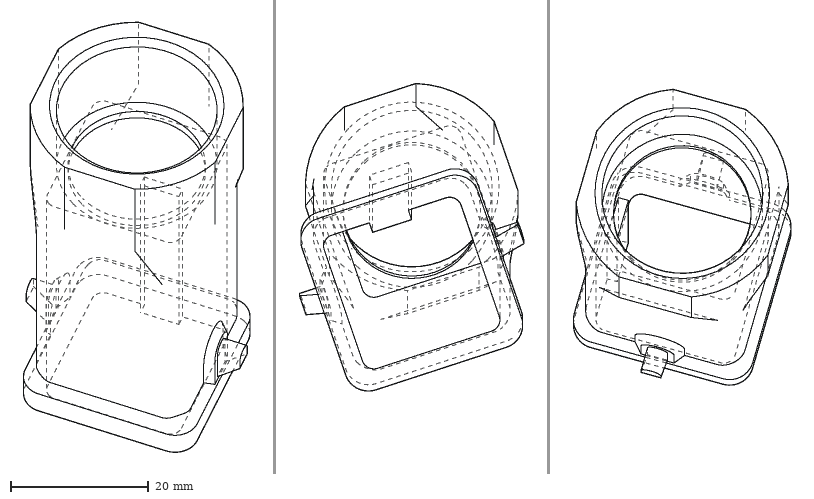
import cadquery as cq
import math

total_height = 60.5
collar_bottom = 46.0
body_top = 36.75

body_width = 24.0
body_corner_radius = 3.25

collar_width = 29.0
collar_flat_half = 5.5
collar_radius = math.hypot(collar_width / 2, collar_flat_half)

flange_width = 27.0
flange_corner_radius = 3.5
flange_height = 4.0
flange_taper = 2.2

entry_diameter = 23.4
entry_mouth_diameter = 25.4
entry_mouth_chamfer = (entry_mouth_diameter - entry_diameter) / 2
entry_depth = 14.0
lip_diameter = 20.0
lip_thickness = 1.5
wall_thickness = 1.5
cavity_width = body_width - 2 * wall_thickness
cavity_corner_radius = body_corner_radius - wall_thickness
cavity_top = total_height - entry_depth - lip_thickness

rib_width = 6.0
rib_inner_y = 9.0
rib_top = 30.0

pin_diameter = 3.0
pin_axis_height = 9.8
pin_span = 33.5
pin_end_x = pin_span / 2
pin_end_bottom = 8.4
boss_face_x = 13.25
boss_width = 7.5
boss_chamfer = boss_face_x - body_width / 2
side_embed = 1.0


def flat_sided_outline(width, flat_half, corner_mid, height):
    """Closed outline of four flats joined by four corner arcs, each through (corner_mid, corner_mid)."""
    half = width / 2
    outline = cq.Workplane("XY").workplane(offset=height).moveTo(-flat_half, -half)
    for side_x, side_y in ((1, -1), (1, 1), (-1, 1), (-1, -1)):
        near_y_flat = (side_x * flat_half, side_y * half)
        near_x_flat = (side_x * half, side_y * flat_half)
        starts_on_y_flat = side_x * side_y < 0
        start, end = (near_y_flat, near_x_flat) if starts_on_y_flat else (near_x_flat, near_y_flat)
        outline = outline.lineTo(*start)
        outline = outline.threePointArc((side_x * corner_mid, side_y * corner_mid), end)
    return outline.close()


def collar_outline(height):
    return flat_sided_outline(collar_width, collar_flat_half, collar_radius * math.sqrt(0.5), height)


def body_outline(height):
    flat_half = body_width / 2 - body_corner_radius
    corner_mid = flat_half + body_corner_radius * math.sqrt(0.5)
    return flat_sided_outline(body_width, flat_half, corner_mid, height)


def make_shell():
    body = body_outline(0).extrude(body_top)
    collar = collar_outline(collar_bottom).extrude(total_height - collar_bottom)
    lower_wire = body_outline(body_top).val()
    upper_wire = collar_outline(collar_bottom).val()
    transition = cq.Workplane(cq.Solid.makeLoft([lower_wire, upper_wire], True))
    return body.union(transition).union(collar)


def make_flange():
    flange = cq.Workplane("XY").rect(flange_width, flange_width).extrude(flange_height + flange_taper)
    flange = flange.edges("|Z").fillet(flange_corner_radius)
    return flange.faces(">Z").chamfer(flange_taper)


def make_boss():
    """Arched boss on the +X side, chamfered around its outer face."""
    radius = boss_width / 2
    boss = (
        cq.Workplane("YZ")
        .workplane(offset=body_width / 2 - side_embed)
        .moveTo(-radius, 0)
        .lineTo(radius, 0)
        .lineTo(radius, pin_axis_height)
        .threePointArc((0, pin_axis_height + radius), (-radius, pin_axis_height))
        .close()
        .extrude(boss_face_x - body_width / 2 + side_embed)
    )
    return boss.faces(">X").edges("not <Z").chamfer(boss_chamfer)


def make_pin():
    """Half-round pin on the +X side with a 45 degree support web below it."""
    radius = pin_diameter / 2
    inner_x = boss_face_x - side_embed
    inner_bottom = pin_end_bottom - (pin_end_x - inner_x)
    round_part = (
        cq.Workplane("YZ")
        .workplane(offset=inner_x)
        .center(0, pin_axis_height)
        .circle(radius)
        .extrude(pin_end_x - inner_x)
    )
    web = (
        cq.Workplane("XZ")
        .polyline([
            (inner_x, pin_axis_height),
            (pin_end_x, pin_axis_height),
            (pin_end_x, pin_end_bottom),
            (inner_x, inner_bottom),
        ])
        .close()
        .extrude(radius, both=True)
    )
    below_slope = (
        cq.Workplane("XZ")
        .polyline([(inner_x, inner_bottom), (pin_end_x, pin_end_bottom), (pin_end_x, inner_bottom)])
        .close()
        .extrude(radius, both=True)
    )
    return round_part.union(web).cut(below_slope)


def make_bore():
    """Everything hollow inside: square cavity, lip opening, entry bore and its mouth chamfer."""
    entry_bottom = total_height - entry_depth
    cavity = cq.Workplane("XY").rect(cavity_width, cavity_width).extrude(cavity_top)
    cavity = cavity.edges("|Z").fillet(cavity_corner_radius)
    lip = cq.Workplane("XY").circle(lip_diameter / 2).extrude(total_height)
    entry = cq.Workplane("XY").workplane(offset=entry_bottom).circle(entry_diameter / 2).extrude(entry_depth)
    mouth = cq.Workplane(cq.Solid.makeCone(
        entry_diameter / 2, entry_mouth_diameter / 2, entry_mouth_chamfer,
        pnt=cq.Vector(0, 0, total_height - entry_mouth_chamfer),
    ))
    return cavity.union(lip).union(entry).union(mouth)


def make_rib():
    wall_y = body_width / 2 - side_embed
    return (
        cq.Workplane("XY")
        .center(0, (rib_inner_y + wall_y) / 2)
        .rect(rib_width, wall_y - rib_inner_y)
        .extrude(rib_top)
    )


side_lock = make_boss().union(make_pin())
result = make_shell().union(make_flange())
for turn in (0, 180):
    result = result.union(side_lock.rotate((0, 0, 0), (0, 0, 1), turn))
result = result.cut(make_bore()).union(make_rib())